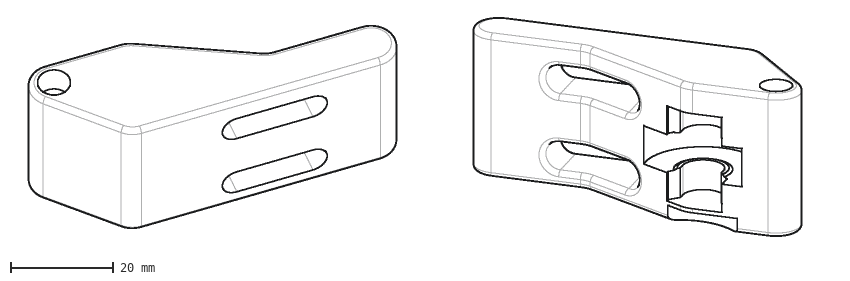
import cadquery as cq
import math

length = 71.5
width = 22.3
height = 30.0
end_radius = 5.0
slope_bottom_y = 22.0
slope_top_y = 46.8
slope_bottom_radius = 6.0
slope_top_radius = 5.0
nose_angle = 43.5
nose_corner_radius = 5.0
rim_radius = 1.1
selection_margin = 0.1
overcut = 3.6

screw_diameter = 3.2
head_diameter = 6.4
head_depth = 5.7

slot_radius = 3.0
slot_low_y = 36.6
slot_high_y = 52.5
slot_heights = (6.1, 22.1)
slot_rim_radius = 1.1
flat_side_margin = 0.7

axis_x = 6.3
axis_y = 20.5
roller_radius = 11.95
roller_floor = 9.95
roller_height = 8.0
axle_radius = 4.2
axle_floor = 4.0
axle_height = 19.95
mouth_half_width = 6.1
flare_x = 3.0
spacer_tip_radius = 5.1
spacer_height = 0.3
spacer_base_radius = 5.8

relief_x = -9.15
relief_y = 20.3
relief_radius = 12.9
relief_height = 3.15


def cylinder(x, y, floor, radius, depth):
    return cq.Workplane("XY", origin=(x, y, floor)).circle(radius).extrude(depth)


def make_body():
    angle = math.radians(nose_angle)
    nose_x = end_radius * (1 + math.sin(angle))
    nose_y = end_radius * (1 - math.cos(angle))
    corner_y = nose_y + (width - nose_x) * math.tan(angle)
    arc_middle = (math.pi / 2 + angle) / 2
    arm_x = width - 2 * end_radius
    body = (
        cq.Workplane("XY")
        .moveTo(0, end_radius)
        .threePointArc(
            (end_radius * (1 - math.cos(arc_middle)), end_radius * (1 - math.sin(arc_middle))),
            (nose_x, nose_y),
        )
        .lineTo(width, corner_y)
        .lineTo(width, length - end_radius)
        .threePointArc((width - end_radius, length), (arm_x, length - end_radius))
        .lineTo(arm_x, slope_top_y)
        .lineTo(0, slope_bottom_y)
        .close()
        .extrude(height)
    )
    for x, y, radius in (
        (width, corner_y, nose_corner_radius),
        (arm_x, slope_top_y, slope_top_radius),
        (0, slope_bottom_y, slope_bottom_radius),
    ):
        corner = cq.selectors.NearestToPointSelector((x, y, height / 2))
        body = body.edges("|Z").edges(corner).fillet(radius)
    return body.faces("|Z").edges().fillet(rim_radius)


def cut_slots(body):
    slots = (
        cq.Workplane("YZ", origin=(-overcut, 0, 0))
        .pushPoints([((slot_low_y + slot_high_y) / 2, z) for z in slot_heights])
        .slot2D(slot_high_y - slot_low_y + 2 * slot_radius, 2 * slot_radius)
        .extrude(width + 2 * overcut)
    )
    body = body.cut(slots)
    reach = slot_radius + selection_margin
    low_y = slot_low_y - reach
    high_y = slot_high_y + reach
    inner_x = width - flat_side_margin
    for z in slot_heights:
        near = (0, low_y, z - reach)
        far = (inner_x, high_y, z + reach)
        mouth = cq.selectors.BoxSelector(near, far, boundingbox=True)
        body = body.edges(mouth).fillet(slot_rim_radius)
    return body


def make_roller_pocket():
    pocket = cylinder(axis_x, axis_y, roller_floor, roller_radius, roller_height)
    ring = (
        cq.Workplane("XZ", origin=(axis_x, axis_y, 0))
        .polyline([
            (0, roller_floor),
            (spacer_base_radius, roller_floor),
            (spacer_tip_radius, roller_floor + spacer_height),
            (0, roller_floor + spacer_height),
        ])
        .close()
        .revolve(360, (0, 0, 0), (0, 1, 0))
    )
    middle = (0, 0, roller_floor + roller_height / 2)
    return pocket.cut(ring).cut(ring.mirror("XY", middle))


def make_axle_channel():
    low_y = axis_y - axle_radius
    high_y = axis_y + axle_radius
    flare = mouth_half_width - axle_radius
    return (
        cq.Workplane("XY", origin=(0, 0, axle_floor))
        .moveTo(axis_x, low_y)
        .lineTo(flare_x + flare, low_y)
        .lineTo(flare_x, low_y - flare)
        .lineTo(-overcut, low_y - flare)
        .lineTo(-overcut, high_y + flare)
        .lineTo(flare_x, high_y + flare)
        .lineTo(flare_x + flare, high_y)
        .lineTo(axis_x, high_y)
        .threePointArc((axis_x + axle_radius, axis_y), (axis_x, low_y))
        .close()
        .extrude(axle_height)
    )


def make_screw_hole():
    shank = cylinder(end_radius, end_radius, 0, screw_diameter / 2, height)
    head = cylinder(end_radius, end_radius, height - head_depth, head_diameter / 2, head_depth)
    return shank.union(head)


result = (
    cut_slots(make_body())
    .cut(make_roller_pocket())
    .cut(make_axle_channel())
    .cut(cylinder(relief_x, relief_y, 0, relief_radius, relief_height))
    .cut(make_screw_hole())
)